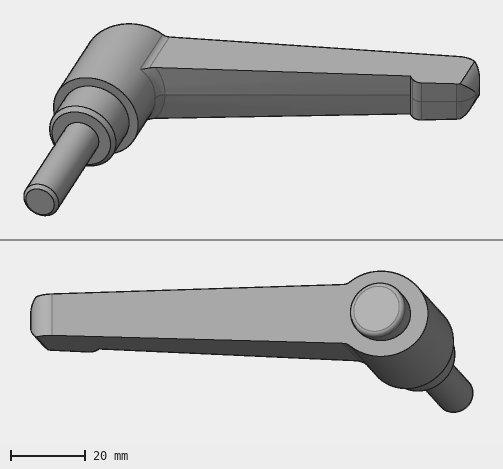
import cadquery as cq
import math

hub_radius = 12.1

collar_radius = 9.5
collar_length = 11.2
collar_chamfer = 1.1

stud_radius = 5.0
stud_end = 43.2
stud_chamfer = 0.9

button_radius = 7.6
button_top = 32.0
button_round = 1.2

top_angle = 16
bottom_angle = 20
top_height = 27.7
bottom_height = 10.7
tip_x = 104.1 - hub_radius
root_half_width = 8.6
tip_half_width = 5.7
tip_round = 5.8
tip_plan_radius = 7.1
root_fillet = 2.8
root_rise = 1.0
grip_rise = 0.16

grip_start = 75.6
grip_drop = 3.2
grip_face_run = 2.3
grip_round = 2.6

top_slope = math.tan(math.radians(top_angle))
bottom_slope = math.tan(math.radians(bottom_angle))


def top_y(x):
    """Height of the sloping top face."""
    return top_height + x * top_slope


def bottom_y(x):
    """Height of the centre line of the arm's underside, leaving out the grip."""
    return bottom_height + x * bottom_slope


def disc(radius, y_low, y_high):
    """Cylinder on the Y axis between two heights."""
    return cq.Workplane("XZ", origin=(0, y_low, 0)).circle(radius).extrude(y_low - y_high)


def across_at(x, y):
    """Selector for the edges that run across the arm through a corner of its side outline."""
    reach = 0.5
    return cq.selectors.BoxSelector(
        (x - reach, y - reach, 0),
        (x + reach, y + reach, root_half_width),
    )


def make_underside_relief(start, end):
    """Wedge under the half arm; start and end give x, y and the rise at the outer side."""
    sections = []
    for x, y, rise in (start, end):
        corners = [
            cq.Vector(x, y, 0),
            cq.Vector(x, y, root_half_width),
            cq.Vector(x, y + rise, root_half_width),
        ]
        sections.append(cq.Wire.makePolygon(corners, close=True))
    return cq.Workplane(obj=cq.Solid.makeLoft(sections, True))


def make_half_hub():
    """Half of the hub cylinder (z >= 0), cut off along the sloping top face of the arm."""
    hub_left = -hub_radius
    below_top = (
        cq.Workplane("XY")
        .moveTo(hub_left, 0)
        .lineTo(hub_radius, 0)
        .lineTo(hub_radius, top_y(hub_radius))
        .lineTo(hub_left, top_y(hub_left))
        .close()
        .extrude(hub_radius)
    )
    return disc(hub_radius, 0, top_y(hub_radius)).intersect(below_top)


def make_half_arm():
    """Half of the arm (z >= 0): side outline with grip, crossed with the tapered plan."""
    grip_corner_x = grip_start + grip_face_run
    grip_bottom = bottom_y(grip_corner_x) - grip_drop
    tip_bottom = bottom_y(tip_x) - grip_drop
    side = (
        cq.Workplane("XY")
        .moveTo(0, bottom_y(0))
        .lineTo(grip_start, bottom_y(grip_start))
        .lineTo(grip_corner_x, grip_bottom)
        .lineTo(tip_x, tip_bottom)
        .lineTo(tip_x, top_y(tip_x))
        .lineTo(0, top_y(0))
        .close()
        .extrude(root_half_width)
    )
    lever_start = (0, bottom_y(0), root_rise)
    lever_end = (grip_start, bottom_y(grip_start), grip_rise)
    grip_left = (grip_start, bottom_y(grip_start) - grip_drop, grip_rise)
    grip_right = (tip_x, tip_bottom, grip_rise)
    side = side.cut(make_underside_relief(lever_start, lever_end))
    side = side.cut(make_underside_relief(grip_left, grip_right))
    side = side.edges(across_at(tip_x, top_y(tip_x))).fillet(tip_round)
    side = side.edges(across_at(tip_x, tip_bottom)).fillet(tip_round)
    side = side.edges(across_at(grip_corner_x, grip_bottom)).fillet(grip_round)

    round_depth = tip_plan_radius - math.sqrt(tip_plan_radius**2 - tip_half_width**2)
    shoulder_x = tip_x - round_depth
    plan = (
        cq.Workplane("XZ")
        .lineTo(tip_x, 0)
        .radiusArc((shoulder_x, tip_half_width), -tip_plan_radius)
        .lineTo(0, root_half_width)
        .close()
        .extrude(-top_y(tip_x))
    )
    return side.intersect(plan)


def lies_on_joint(edge):
    """True for the edges where the arm meets the hub wall."""
    tolerance = 0.001
    middle = edge.positionAt(0.5)
    on_wall = abs(math.hypot(middle.x, middle.z) - hub_radius) < tolerance
    inside_arm = middle.x > hub_radius / 2 and bottom_y(0) < middle.y < top_y(middle.x) - root_fillet
    return on_wall and inside_arm


def make_handle():
    """Hub and arm with a rounded joint; the handle is symmetric about z = 0."""
    half = make_half_hub().union(make_half_arm())
    joint = [edge for edge in half.edges().vals() if lies_on_joint(edge)]
    half = half.newObject(joint).fillet(root_fillet)
    return half.union(half.mirror("XY"))


def make_insert():
    """Collar and stud below the hub, push button above it."""
    collar = disc(collar_radius, -collar_length, 0).faces("<Y").chamfer(collar_chamfer)
    stud = disc(stud_radius, -stud_end, 0).faces("<Y").chamfer(stud_chamfer)
    button = disc(button_radius, 0, button_top).faces(">Y").edges().fillet(button_round)
    return collar.union(stud).union(button)


result = make_handle().union(make_insert())